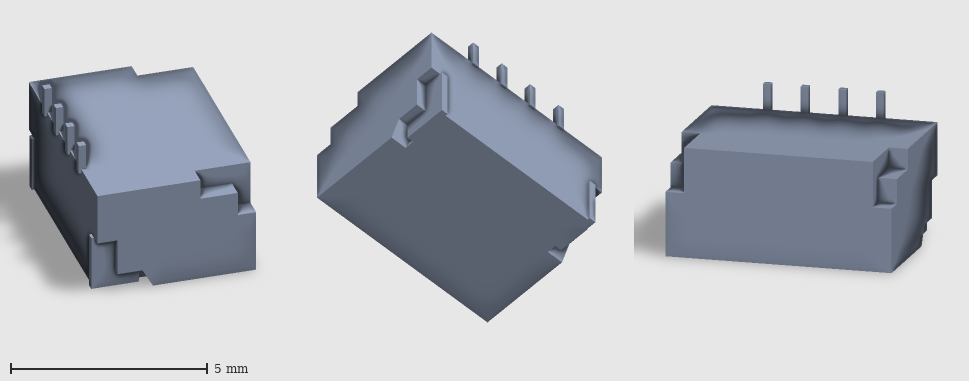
import cadquery as cq

length = 6.0
depth = 4.3
height = 3.6

housing_height = 2.9
housing_front = 0.07

pin_count = 4
pin_pitch = length / 6
pin_width = 0.2
pin_bottom = 2.79

upper_recess_width = 0.5
upper_recess_depth = 1.49
upper_step_depth = 0.49
upper_recess_floor = 1.7
upper_step_floor = 2.35

lower_recess_width = 0.5
lower_recess_height = 1.5
lower_step_height = 0.5
lower_recess_back = 0.61
lower_step_back = 1.27
slant_foot = 1.55

tab_thickness = 0.2


def side_prism(outline, width):
    """Extrude a (Y, Z) outline inward from both ends of the part."""
    left = cq.Workplane("YZ", origin=(-length / 2, 0, 0)).polyline(outline).close().extrude(width)
    return left.union(left.mirror("YZ"))


def front_box(x, y, z, x_size, y_size, z_size):
    """Box centred on x, with its front at y and its bottom at z."""
    return cq.Workplane("XY", origin=(x, y + y_size / 2, z)).box(
        x_size, y_size, z_size, centered=(True, True, False)
    )


result = front_box(0, housing_front, 0, length, depth - housing_front, housing_height)

upper_outline = [
    (depth, upper_recess_floor),
    (depth - upper_step_depth, upper_recess_floor),
    (depth - upper_step_depth, upper_step_floor),
    (depth - upper_recess_depth, upper_step_floor),
    (depth - upper_recess_depth, housing_height),
    (depth, housing_height),
]
result = result.cut(side_prism(upper_outline, upper_recess_width))

lower_outline = [
    (0, 0),
    (slant_foot, 0),
    (lower_step_back, lower_step_height),
    (lower_recess_back, lower_step_height),
    (lower_recess_back, lower_recess_height),
    (0, lower_recess_height),
]
result = result.cut(side_prism(lower_outline, lower_recess_width))

tab_outline = [
    (0, 0),
    (lower_step_back, 0),
    (lower_step_back, lower_step_height),
    (lower_recess_back, lower_step_height),
    (lower_recess_back, lower_recess_height),
    (0, lower_recess_height),
]
tab_outer_gap = lower_recess_width - tab_thickness
tabs = side_prism(tab_outline, lower_recess_width).cut(side_prism(tab_outline, tab_outer_gap))
result = result.union(tabs)

for index in range(pin_count):
    pin_x = (index - (pin_count - 1) / 2) * pin_pitch
    result = result.union(
        front_box(pin_x, 0, pin_bottom, pin_width, pin_width, height - pin_bottom)
    )